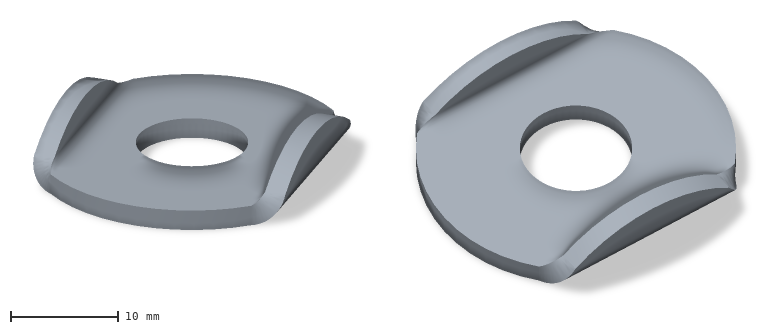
import cadquery as cq
import math

blank_diameter = 29.9
hole_diameter = 10.5
overall_width = 25.0
overall_height = 5.32
thickness = 2.0
inner_bend_radius = 0.5

blank_radius = blank_diameter / 2
outer_bend_radius = inner_bend_radius + thickness
bend_x = overall_width / 2 - outer_bend_radius
bend_z = outer_bend_radius
flange_disc_z = overall_height - blank_radius

bend_length = (bend_z - flange_disc_z) - bend_x
neutral_radius = bend_length / (math.pi / 2)

trim_margin = 0.3
bend_sections = 9


def make_flat():
    disc = cq.Workplane("XY").circle(blank_radius).circle(hole_diameter / 2).extrude(thickness)
    strip = cq.Workplane("XY").box(2 * bend_x, blank_diameter, thickness, centered=(True, True, False))
    return disc.intersect(strip)


def make_flange():
    """Upright circle segment on the +X side, standing on the bend."""
    half_chord = math.sqrt(blank_radius**2 - (bend_z - flange_disc_z) ** 2)
    return (
        cq.Workplane("YZ", origin=(overall_width / 2 - thickness, 0, 0))
        .moveTo(-half_chord, bend_z)
        .threePointArc((0, overall_height), (half_chord, bend_z))
        .close()
        .extrude(thickness)
    )


def bend_section(angle):
    """Rectangle across the sheet at one bend angle, as wide as the round blank is there."""
    half_width = math.sqrt(blank_radius**2 - (bend_x + neutral_radius * angle) ** 2)
    corners = []
    for radius, y in (
        (inner_bend_radius - trim_margin, -half_width),
        (outer_bend_radius + trim_margin, -half_width),
        (outer_bend_radius + trim_margin, half_width),
        (inner_bend_radius - trim_margin, half_width),
    ):
        x = bend_x + radius * math.sin(angle)
        z = bend_z - radius * math.cos(angle)
        corners.append(cq.Vector(x, y, z))
    return cq.Wire.makePolygon(corners, close=True)


def make_bend():
    """Quarter tube on the +X side, its ends following the rim of the bent blank."""
    tube = (
        cq.Workplane("XZ", origin=(bend_x, blank_radius, bend_z))
        .circle(outer_bend_radius)
        .circle(inner_bend_radius)
        .extrude(blank_diameter)
    )
    quarter = cq.Workplane("XY").box(
        outer_bend_radius, blank_diameter, outer_bend_radius, centered=(False, True, False)
    ).translate((bend_x, 0, 0))
    angles = [math.pi / 2 * i / (bend_sections - 1) for i in range(bend_sections)]
    trimmer = cq.Solid.makeLoft([bend_section(angle) for angle in angles])
    return tube.intersect(quarter).intersect(cq.Workplane(trimmer))


bent_edge = make_bend().union(make_flange())
result = make_flat().union(bent_edge).union(bent_edge.mirror("YZ"))